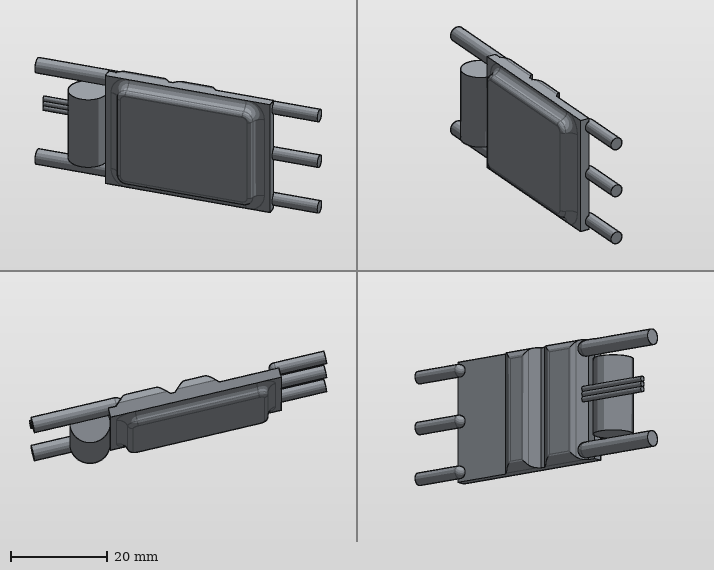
import cadquery as cq
import math


overall_length = 62.6

board_left = 16.0
board_length = 36.55
board_height = 25.6
board_thickness = 2.05

pad_face_length = 28.1
pad_face_height = 20.1
pad_depth = 2.45
pad_face_corner_radius = 1.05
pad_rim_radius = 1.0
pad_foot_radius = 2.0

ridge_spans = [(17.65, 29.35), (30.3, 39.8)]
ridge_rise = 2.45
ridge_slope_degrees = 45.0
ridge_round_radius = 1.9

lead_spacing = 10.8

left_lead_diameter = 3.3
left_lead_y = 1.7
left_lead_dome_x = 17.85
right_lead_diameter = 2.7
right_lead_y = 1.5
right_lead_dome_x = 51.9

capacitor_diameter = 8.4
capacitor_length = 16.0
capacitor_overlap = 0.03

signal_wire_diameter = 1.1
signal_wire_overlap = 0.03
signal_wire_pitch = signal_wire_diameter - signal_wire_overlap
signal_wire_count = 3
signal_wire_start = 0.25
ribbon_z = 0.28

board_right = board_left + board_length
board_middle_x = board_left + board_length / 2
board_front = -board_thickness / 2
board_back = board_thickness / 2
capacitor_x = board_left + capacitor_overlap - capacitor_diameter / 2
ribbon_y = capacitor_diameter / 2 + signal_wire_diameter / 2


def box_between(x_range, y_range, z_range):
    """Plain box given by its limits along the three axes."""
    sizes = [high - low for low, high in (x_range, y_range, z_range)]
    corner = (x_range[0], y_range[0], z_range[0])
    return cq.Workplane("XY").box(*sizes, centered=False).translate(corner)


def rod_along_x(x_start, x_end, y, z, diameter):
    """Round rod parallel to X."""
    return (
        cq.Workplane("YZ", origin=(x_start, y, z))
        .circle(diameter / 2)
        .extrude(x_end - x_start)
    )


def make_board():
    half_height = board_height / 2
    return box_between((board_left, board_right), (board_front, board_back), (-half_height, half_height))


def pad_edge_profile(plane):
    """Half section of the pad edge: flat face, convex rim, concave foot; local Y is the outward depth."""
    radius_sum = pad_rim_radius + pad_foot_radius
    tangent_angle = math.acos(1 - pad_depth / radius_sum)

    def rim_point(angle):
        return (
            pad_face_corner_radius + pad_rim_radius * math.sin(angle),
            pad_depth - pad_rim_radius * (1 - math.cos(angle)),
        )

    foot_reach = pad_face_corner_radius + radius_sum * math.sin(tangent_angle)

    def foot_point(angle):
        return (
            foot_reach - pad_foot_radius * math.sin(angle),
            pad_foot_radius * (1 - math.cos(angle)),
        )

    return (
        plane.moveTo(0, 0)
        .lineTo(0, pad_depth)
        .lineTo(pad_face_corner_radius, pad_depth)
        .threePointArc(rim_point(tangent_angle / 2), rim_point(tangent_angle))
        .threePointArc(foot_point(tangent_angle / 2), (foot_reach, 0))
        .close()
    )


def make_pad():
    """Raised pad on the front face; its foot is cut off flush with the top and bottom of the board."""
    core_length = pad_face_length - 2 * pad_face_corner_radius
    core_height = pad_face_height - 2 * pad_face_corner_radius

    pad = cq.Workplane("XY").rect(core_length, core_height).extrude(pad_depth)
    for side in (-1, 1):
        corner_x = side * core_length / 2
        corner_y = side * core_height / 2

        short_side = cq.Plane((corner_x, corner_y, 0), xDir=(side, 0, 0), normal=(0, -side, 0))
        pad = pad.union(pad_edge_profile(cq.Workplane(short_side)).extrude(core_height))

        long_side = cq.Plane((-corner_x, corner_y, 0), xDir=(0, side, 0), normal=(side, 0, 0))
        pad = pad.union(pad_edge_profile(cq.Workplane(long_side)).extrude(core_length))

        for y in (-corner_y, corner_y):
            corner_plane = cq.Workplane("XZ", origin=(corner_x, y, 0))
            pad = pad.union(pad_edge_profile(corner_plane).revolve(360, (0, 0, 0), (0, 1, 0)))

    pad = pad.intersect(cq.Workplane("XY").box(board_length, board_height, 2 * pad_depth))
    upright = pad.rotate((0, 0, 0), (1, 0, 0), 90)
    return upright.translate((board_middle_x, board_front, 0))


def make_ridge(foot_left, foot_right):
    """Ridge across the back of the board with sloping flanks, rounded crest and rounded ends."""
    crest = board_back + ridge_rise
    flank_run = ridge_rise / math.tan(math.radians(ridge_slope_degrees))
    half_height = board_height / 2
    prism = (
        cq.Workplane("XY", origin=(0, 0, -half_height))
        .moveTo(foot_left, board_back)
        .lineTo(foot_left + flank_run, crest)
        .lineTo(foot_right - flank_run, crest)
        .lineTo(foot_right, board_back)
        .close()
        .extrude(board_height)
        .edges("|Z and >Y")
        .fillet(ridge_round_radius)
    )
    envelope = box_between((foot_left, foot_right), (board_back, crest), (-half_height, half_height))
    rounded_ends = envelope.edges("|X and >Y").fillet(ridge_round_radius)
    return prism.intersect(rounded_ends)


def make_lead(free_end_x, dome_x, y, z, diameter):
    """Power lead: a rod with a domed inner end sunk into the back of the board."""
    rod = rod_along_x(min(free_end_x, dome_x), max(free_end_x, dome_x), y, z, diameter)
    dome = cq.Workplane("XY", origin=(dome_x, y, z)).sphere(diameter / 2)
    return rod.union(dome)


def make_capacitor():
    return (
        cq.Workplane("XY", origin=(capacitor_x, 0, -capacitor_length / 2))
        .circle(capacitor_diameter / 2)
        .extrude(capacitor_length)
    )


def make_controller():
    """Board with its pad, ridges, power leads and capacitor, all in one solid."""
    controller = make_board().union(make_pad())
    for foot_left, foot_right in ridge_spans:
        controller = controller.union(make_ridge(foot_left, foot_right))
    for row in (-1, 1):
        lead = make_lead(0, left_lead_dome_x, left_lead_y, row * lead_spacing, left_lead_diameter)
        controller = controller.union(lead)
    for row in (-1, 0, 1):
        lead = make_lead(overall_length, right_lead_dome_x, right_lead_y, row * lead_spacing, right_lead_diameter)
        controller = controller.union(lead)
    return controller.union(make_capacitor())


def make_signal_ribbon():
    """Flat ribbon of thin wires lying against the back of the capacitor."""
    lowest_z = ribbon_z - signal_wire_pitch * (signal_wire_count - 1) / 2
    wires = [
        rod_along_x(
            signal_wire_start, board_left, ribbon_y, lowest_z + number * signal_wire_pitch, signal_wire_diameter
        )
        for number in range(signal_wire_count)
    ]
    ribbon = wires[0]
    for wire in wires[1:]:
        ribbon = ribbon.union(wire)
    return ribbon


controller = make_controller()
signal_ribbon = make_signal_ribbon()

result = cq.Compound.makeCompound([controller.val(), signal_ribbon.val()])